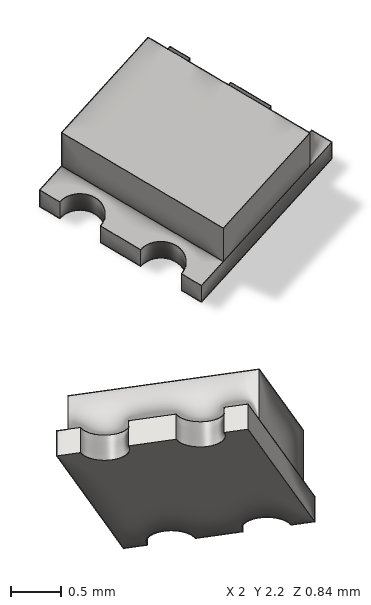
import cadquery as cq

width = 2.0
base_length = 2.2
base_thickness = 0.28
total_height = 0.84
lens_length = 1.46
notch_radius = 0.25

lens_height = total_height - base_thickness
notch_offset = width / 4
end_y = base_length / 2


def make_base():
    """Flat board with two half-round notches through each end."""
    board = cq.Workplane("XY").box(width, base_length, base_thickness, centered=(True, True, False))
    notch_centres = [(x, y) for x in (-notch_offset, notch_offset) for y in (-end_y, end_y)]
    notches = cq.Workplane("XY").pushPoints(notch_centres).circle(notch_radius).extrude(base_thickness)
    return board.cut(notches)


def make_lens():
    """Rectangular block resting on the middle of the base."""
    return (
        cq.Workplane("XY")
        .workplane(offset=base_thickness)
        .box(width, lens_length, lens_height, centered=(True, True, False))
    )


base = make_base()
lens = make_lens()

result = cq.Compound.makeCompound([*base.solids().vals(), lens.val()])